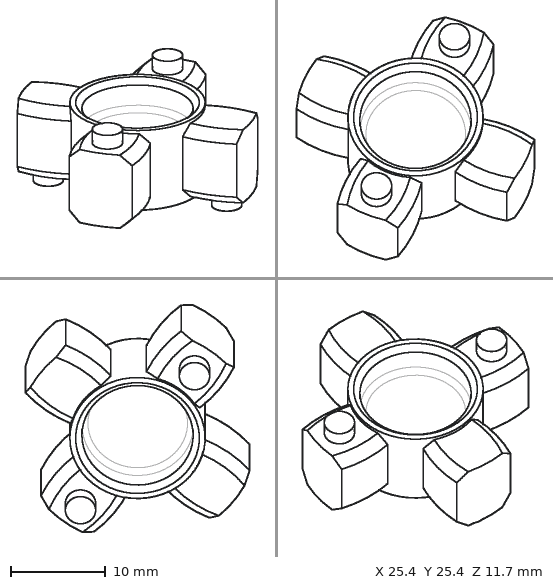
import cadquery as cq
import math

outer_radius = 12.7
overall_height = 11.65

hub_radius = 7.13
hub_height = 9.25
pocket_radius = 5.86
web_thickness = 2.08
mouth_chamfer = 0.65
floor_fillet = 0.6

arm_height = 8.48
arm_width = 7.72
arm_side_radius = 13.45
arm_chamfer = 1.17
widest_radius = 9.15
arm_overlap = 1.02
end_allowance = 0.5

pin_radius = 1.6
pin_circle_radius = 9.92


def half_width_at(radius):
    """Half the arm width at a distance from the hub axis."""
    offset = radius - widest_radius
    sagitta = arm_side_radius - math.sqrt(arm_side_radius**2 - offset**2)
    return arm_width / 2 - sagitta


def make_arm():
    """Arm along +X with bowed, chamfered sides and a cylindrical end."""
    inner = hub_radius - arm_overlap
    outer = outer_radius + end_allowance
    inner_half = half_width_at(inner)
    outer_half = half_width_at(outer)
    blank = (
        cq.Workplane("XY")
        .moveTo(inner, -inner_half)
        .threePointArc((widest_radius, -arm_width / 2), (outer, -outer_half))
        .lineTo(outer, outer_half)
        .threePointArc((widest_radius, arm_width / 2), (inner, inner_half))
        .close()
        .extrude(arm_height / 2, both=True)
        .faces("|Z")
        .edges("%CIRCLE")
        .chamfer(arm_chamfer)
    )
    envelope = cq.Workplane("XY").circle(outer_radius).extrude(arm_height / 2, both=True)
    return blank.intersect(envelope)


def make_pin(direction):
    """Pin on the +X arm, standing up (1) or hanging down (-1) from its middle."""
    return (
        cq.Workplane("XY")
        .center(pin_circle_radius, 0)
        .circle(pin_radius)
        .extrude(direction * overall_height / 2)
    )


def make_pocket():
    """Upper hub pocket with a rounded floor and a flared mouth."""
    floor = web_thickness / 2
    rim = hub_height / 2
    bore = (
        cq.Workplane("XY", origin=(0, 0, floor))
        .circle(pocket_radius)
        .extrude(rim - floor)
        .faces("<Z")
        .edges()
        .fillet(floor_fillet)
    )
    mouth = (
        cq.Workplane("XY", origin=(0, 0, rim - mouth_chamfer))
        .circle(pocket_radius)
        .workplane(offset=mouth_chamfer)
        .circle(pocket_radius + mouth_chamfer)
        .loft(ruled=True)
    )
    return bore.union(mouth)


body = cq.Workplane("XY").circle(hub_radius).extrude(hub_height / 2, both=True)

for angle, pin_direction in ((0, -1), (90, 1), (180, -1), (270, 1)):
    arm = make_arm().union(make_pin(pin_direction))
    body = body.union(arm.rotate((0, 0, 0), (0, 0, 1), angle))

upper_pocket = make_pocket()
result = body.cut(upper_pocket).cut(upper_pocket.mirror("XY"))